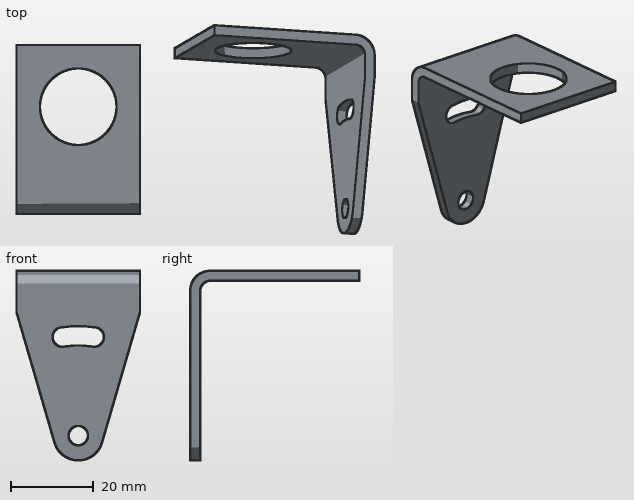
import cadquery as cq
import math

width = 30.0
depth = 41.0
height = 46.0
thickness = 2.5
outer_bend_radius = 4.9
inner_bend_radius = outer_bend_radius - thickness

opening_diameter = 18.5
opening_y = depth - width / 2

shoulder_z = -10.02
tip_radius = 6.02
pivot_z = tip_radius - height
pivot_diameter = 4.65

slot_radius = 24.2
slot_width = pivot_diameter
slot_half_angle = math.radians(9.2)


def front_plane():
    """Sketch plane on the front face, extruding towards -Y."""
    return cq.Workplane("XZ")


def bent_sheet():
    return (
        cq.Workplane("YZ")
        .moveTo(depth, 0)
        .lineTo(outer_bend_radius, 0)
        .radiusArc((0, -outer_bend_radius), -outer_bend_radius)
        .lineTo(0, -height)
        .lineTo(thickness, -height)
        .lineTo(thickness, -outer_bend_radius)
        .radiusArc((outer_bend_radius, -thickness), inner_bend_radius)
        .lineTo(depth, -thickness)
        .close()
        .extrude(width / 2, both=True)
    )


def front_outline():
    """Full-depth prism whose straight sides run tangent into the rounded tip."""
    drop = shoulder_z - pivot_z
    half_width = width / 2
    shoulder_distance = math.hypot(half_width, drop)
    tangent_angle = math.atan2(drop, half_width) - math.acos(tip_radius / shoulder_distance)
    tangent_x = tip_radius * math.cos(tangent_angle)
    tangent_z = pivot_z + tip_radius * math.sin(tangent_angle)
    return (
        front_plane()
        .moveTo(-half_width, 0)
        .lineTo(half_width, 0)
        .lineTo(half_width, shoulder_z)
        .lineTo(tangent_x, tangent_z)
        .threePointArc((0, -height), (-tangent_x, tangent_z))
        .lineTo(-half_width, shoulder_z)
        .close()
        .extrude(-depth)
    )


def top_opening():
    return (
        cq.Workplane("XY")
        .center(0, opening_y)
        .circle(opening_diameter / 2)
        .extrude(-thickness)
    )


def pivot_hole():
    return front_plane().center(0, pivot_z).circle(pivot_diameter / 2).extrude(-thickness)


def slot_point(radius, angle):
    """Point at a radius from the pivot, with the angle measured from +Z."""
    return (radius * math.sin(angle), pivot_z + radius * math.cos(angle))


def curved_slot():
    inner = slot_radius - slot_width / 2
    outer = slot_radius + slot_width / 2
    end_angle = slot_half_angle + math.asin(slot_width / 2 / slot_radius)
    return (
        front_plane()
        .moveTo(*slot_point(outer, -slot_half_angle))
        .threePointArc(slot_point(outer, 0), slot_point(outer, slot_half_angle))
        .threePointArc(slot_point(slot_radius, end_angle), slot_point(inner, slot_half_angle))
        .threePointArc(slot_point(inner, 0), slot_point(inner, -slot_half_angle))
        .threePointArc(slot_point(slot_radius, -end_angle), slot_point(outer, -slot_half_angle))
        .close()
        .extrude(-thickness)
    )


result = bent_sheet().intersect(front_outline())
for opening in (top_opening(), pivot_hole(), curved_slot()):
    result = result.cut(opening)